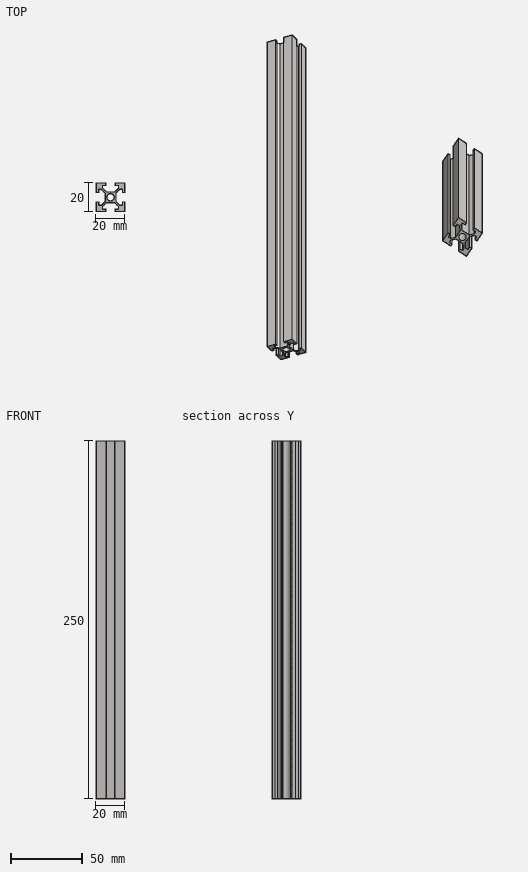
import cadquery as cq
import math

side = 20.0
length = 250.0

slot_opening = 6.4
pocket_width = 10.9
lip_thickness = 1.8

core_side = 7.7
web_thickness = 1.3
bore_diameter = 5.0

half_side = side / 2
half_opening = slot_opening / 2
half_pocket = pocket_width / 2
half_core = core_side / 2
lip_level = half_side - lip_thickness

web_offset = web_thickness / 2 * math.sqrt(2)


def slot_cutter():
    """T-slot open towards +Y, running the full length."""
    right_half = [
        (half_opening, half_side),
        (half_opening, lip_level),
        (half_pocket, lip_level),
        (half_pocket, half_pocket + web_offset),
        (half_core - web_offset, half_core),
    ]
    left_half = [(-x, y) for x, y in reversed(right_half)]
    return cq.Workplane("XY").polyline(right_half + left_half).close().extrude(length)


def profile_bar():
    """Square bar with the centre bore and a T-slot on every side."""
    bar = cq.Workplane("XY").rect(side, side).circle(bore_diameter / 2).extrude(length)
    for angle in (0, 90, 180, 270):
        bar = bar.cut(slot_cutter().rotate((0, 0, 0), (0, 0, 1), angle))
    return bar


result = profile_bar()